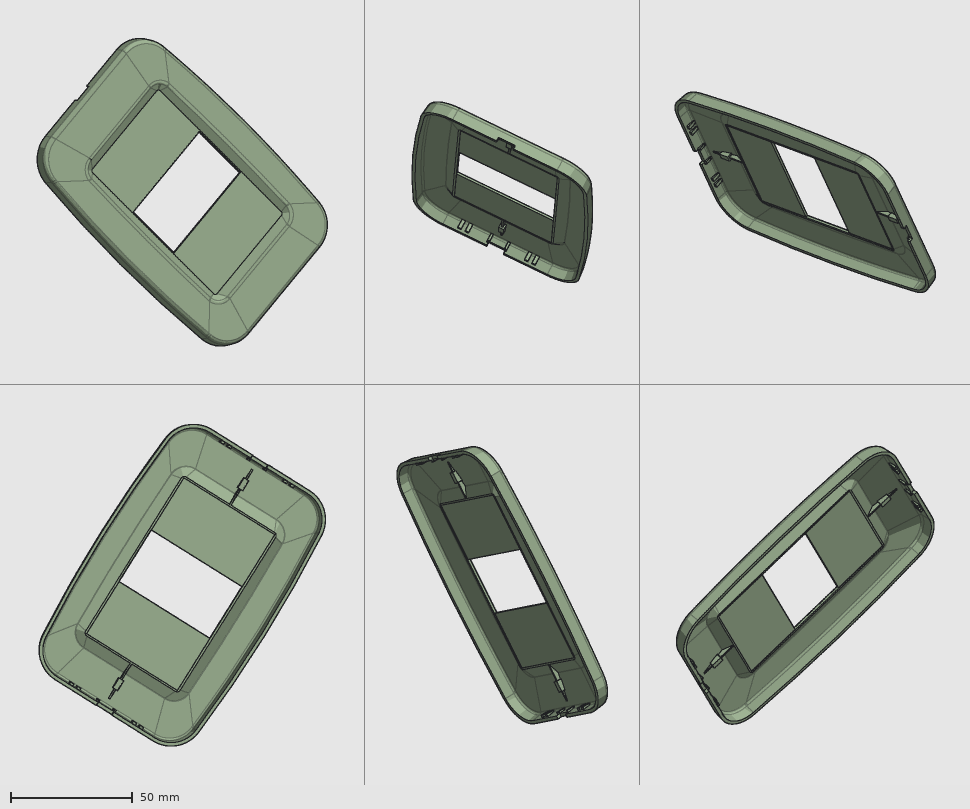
import cadquery as cq
import math


TILT_ABOUT_Y = 48.2
TILT_ABOUT_X = 20.0

HALF_LENGTH = 60.7
HALF_WIDTH = 40.2
CORNER_RADIUS = 14.2
BOW = 1.9
SHOULDER_HEIGHT = 6.4
SHOULDER_INSET = 0.6
SHOULDER_FILLET = 2.0
FACE_HEIGHT = 9.1
WALL = 1.5
FACE_THICKNESS = 1.6

POCKET_HALF_LENGTH = 42.3
POCKET_HALF_WIDTH = 26.9
POCKET_RADIUS = 6.4
POCKET_BOW = 0.6
POCKET_FILLET = 2.0
FLOOR_HALF_LENGTH = 38.1
FLOOR_HALF_WIDTH = 22.8
FLOOR_RADIUS = 1.1
FLOOR_TOP = 6.6
FLOOR_THICKNESS = 1.1
FOOT = 0.4
FLAT_BOW = 0.05
WINDOW_LENGTH = 25.0

TUB_WALL = 1.1
FLOOR_BOTTOM = FLOOR_TOP - FLOOR_THICKNESS
PANEL_RECESS = 0.2
FOOT_BOTTOM = FLOOR_BOTTOM - PANEL_RECESS
INSIDE_FILLET = 1.1
TUB_FILLET = 0.3
PANEL_HALF_LENGTH = 37.8
PANEL_HALF_WIDTH = 22.3
CAVITY_SHOULDER = 5.0
CAVITY_TOP = FACE_HEIGHT - FACE_THICKNESS

NOTCH_WIDTH = 7.7
NOTCH_DEPTH = 1.8
WALL_RIB_DEPTH = 0.5
WALL_RIB_START = 1.2
WALL_RIBS = ((4.0, 1.1), (13.7, 1.6), (17.1, 1.6))

CENTRE_RIB_WIDTH = 0.7
CENTRE_RIB_END = 55.5
PAD_START = 46.1
PAD_LENGTH = 4.8
PAD_WIDTH = 2.3
PAD_DROP = 0.7


FLATNESS = 0.01


def outline(half_length, half_width, radius, bow, height):
    """Closed wire: straight short sides, bowed long sides, tangent corner arcs."""
    chord_half = half_length - radius
    bow_radius = (chord_half ** 2 + bow ** 2) / (2 * bow)
    slope = math.asin(chord_half / (bow_radius - radius))
    centre_x = chord_half
    centre_y = half_width - bow_radius + (bow_radius - radius) * math.cos(slope)
    end_x = centre_x + radius * math.sin(slope)
    end_y = centre_y + radius * math.cos(slope)
    turn = (math.pi / 2 + slope) / 2
    mid_x = centre_x + radius * math.sin(turn)
    mid_y = centre_y + radius * math.cos(turn)
    return (
        cq.Workplane("XY", origin=(0, 0, height))
        .moveTo(half_length, -centre_y)
        .lineTo(half_length, centre_y)
        .threePointArc((mid_x, mid_y), (end_x, end_y))
        .threePointArc((0, half_width), (-end_x, end_y))
        .threePointArc((-mid_x, mid_y), (-half_length, centre_y))
        .lineTo(-half_length, -centre_y)
        .threePointArc((-mid_x, -mid_y), (-end_x, -end_y))
        .threePointArc((0, -half_width), (end_x, -end_y))
        .threePointArc((mid_x, -mid_y), (half_length, -centre_y))
        .close()
        .val()
    )


def outer(inset, height):
    return outline(HALF_LENGTH - inset, HALF_WIDTH - inset, CORNER_RADIUS - inset, BOW, height)


def pocket_edge(offset, height):
    return outline(
        POCKET_HALF_LENGTH + offset, POCKET_HALF_WIDTH + offset, POCKET_RADIUS + offset, POCKET_BOW, height
    )


def floor_edge(offset, height):
    return outline(
        FLOOR_HALF_LENGTH + offset, FLOOR_HALF_WIDTH + offset, FLOOR_RADIUS + offset, FLAT_BOW, height
    )


def loft(*wires):
    return cq.Workplane(cq.Solid.makeLoft(list(wires), True))


def edges_at(body, height, half_length):
    """Edges of the ring lying flat at this height, within this half length."""
    low = (-half_length, -half_length, height - FLATNESS)
    high = (half_length, half_length, height + FLATNESS)
    flat = cq.selectors.BoxSelector(low, high, boundingbox=True)
    return body.edges(flat)


def solid_plate():
    """Solid plate with rounded shoulder and sunken floor, before hollowing."""
    body = loft(outer(0, 0), outer(SHOULDER_INSET, SHOULDER_HEIGHT), pocket_edge(0, FACE_HEIGHT))
    body = edges_at(body, SHOULDER_HEIGHT, HALF_LENGTH).fillet(SHOULDER_FILLET)
    body = body.cut(loft(floor_edge(0, FLOOR_TOP), pocket_edge(0, FACE_HEIGHT)))
    return edges_at(body, FACE_HEIGHT, POCKET_HALF_LENGTH + 1.1).fillet(POCKET_FILLET)


def cavity():
    """Hollow under the face, leaving the tub that carries the floor."""
    hollow = loft(
        outer(WALL, 0),
        outer(WALL + SHOULDER_INSET, CAVITY_SHOULDER),
        pocket_edge(TUB_WALL, CAVITY_TOP),
    )
    hollow = edges_at(hollow, CAVITY_SHOULDER, HALF_LENGTH).fillet(INSIDE_FILLET)
    tub = loft(floor_edge(FOOT, FOOT_BOTTOM), pocket_edge(TUB_WALL, CAVITY_TOP))
    below_foot = loft(floor_edge(FOOT, 0), floor_edge(FOOT, FOOT_BOTTOM))
    recess = bar(-PANEL_HALF_LENGTH, PANEL_HALF_LENGTH, 2 * PANEL_HALF_WIDTH, 0, FLOOR_BOTTOM)
    hollow = edges_at(hollow.cut(tub), CAVITY_TOP, HALF_LENGTH).fillet(TUB_FILLET)
    return hollow.union(below_foot).union(recess)


def bar(start, end, width, bottom, top, offset=0.0):
    """Box running along X from start to end, centred on Y = offset."""
    box = cq.Workplane("XY").box(end - start, width, top - bottom, (False, True, False))
    return box.translate((start, offset, bottom))


def wall_ribs():
    """Upright ribs on the inside of the end wall at +X, rooted in the wall."""
    root = HALF_LENGTH - WALL
    inner_face = root - SHOULDER_INSET - WALL_RIB_DEPTH
    ribs = cq.Workplane("XY")
    for offset, width in WALL_RIBS:
        for side in (-1, 1):
            ribs = ribs.add(bar(inner_face, root, width, WALL_RIB_START, CAVITY_TOP, side * offset))
    return ribs.combine()


def centre_rib():
    """Thin rib with a wider pad, hanging from the sloping face at +X."""
    rib = bar(FLOOR_HALF_LENGTH, CENTRE_RIB_END, CENTRE_RIB_WIDTH, FOOT_BOTTOM, CAVITY_TOP)
    pad = bar(PAD_START, PAD_START + PAD_LENGTH, PAD_WIDTH, FOOT_BOTTOM - PAD_DROP, CAVITY_TOP)
    return rib.union(pad)


window = cq.Workplane("XY").box(WINDOW_LENGTH, 2 * PANEL_HALF_WIDTH, 3 * FLOOR_TOP)
notches = cq.Workplane("XY").box(3 * HALF_LENGTH, NOTCH_WIDTH, 2 * NOTCH_DEPTH)

inside = cavity()
result = solid_plate().cut(inside)

ribs = wall_ribs().union(centre_rib())
for turn in (0, 180):
    result = result.union(ribs.rotate((0, 0, 0), (0, 0, 1), turn).intersect(inside))

result = result.cut(window).cut(notches)
result = result.rotate((0, 0, 0), (0, 1, 0), TILT_ABOUT_Y).rotate((0, 0, 0), (1, 0, 0), TILT_ABOUT_X)